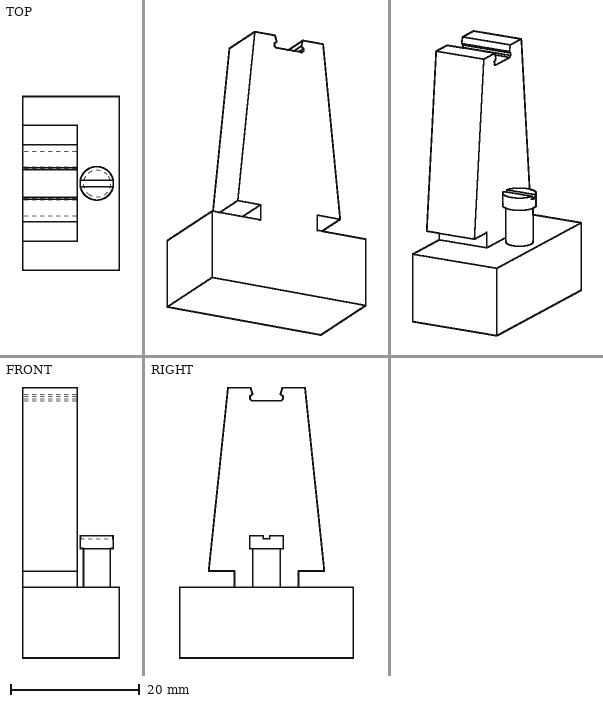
import cadquery as cq

base_length_x = 15.0
base_width_y = 27.0
base_height = 11.0

column_depth_x = 8.5
neck_width = 10.0
neck_height = 2.5
head_bottom_width = 18.0
head_top_width = 12.0
total_height = 42.0

groove_depth = 2.0
groove_mouth_width = 4.9
groove_throat_width = 4.3
channel_width = 5.1
channel_height = 1.0
channel_floor_chamfer = 0.25
lip_underside_height = 0.35

screw_x = 11.5
shank_diameter = 4.2
shank_length = 6.0
screw_head_diameter = 5.2
screw_head_height = 2.0
slot_width = 1.0
slot_depth = 0.5

head_bottom_z = base_height + neck_height
groove_floor_z = total_height - groove_depth
throat_z = groove_floor_z + channel_height


def extrude_symmetric_outline(half_outline):
    """Mirror the +Y half of a YZ outline about Y = 0 and extrude it over the column depth."""
    mirrored_outline = [(-y, z) for y, z in reversed(half_outline)]
    return cq.Workplane("YZ").polyline(half_outline + mirrored_outline).close().extrude(column_depth_x)


def make_column():
    """Neck and tapered head, drawn in the YZ plane and extruded along X."""
    half_outline = [
        (neck_width / 2, base_height),
        (neck_width / 2, head_bottom_z),
        (head_bottom_width / 2, head_bottom_z),
        (head_top_width / 2, total_height),
    ]
    return extrude_symmetric_outline(half_outline)


def make_groove():
    """Cutter for the undercut groove, running the full depth of the column."""
    half_channel = channel_width / 2
    half_outline = [
        (half_channel - channel_floor_chamfer, groove_floor_z),
        (half_channel, groove_floor_z + channel_floor_chamfer),
        (half_channel, throat_z - lip_underside_height),
        (groove_throat_width / 2, throat_z),
        (groove_mouth_width / 2, total_height),
    ]
    return extrude_symmetric_outline(half_outline)


def make_holder():
    """Base block and grooved column as one solid."""
    base = cq.Workplane("XY").box(base_length_x, base_width_y, base_height, centered=(False, True, False))
    return base.union(make_column()).cut(make_groove())


def make_screw():
    """Cylindrical shank and head, with a driver slot along X across the head."""
    shank = (
        cq.Workplane("XY", origin=(screw_x, 0, base_height))
        .circle(shank_diameter / 2)
        .extrude(shank_length)
    )
    head = (
        cq.Workplane("XY", origin=(screw_x, 0, base_height + shank_length))
        .circle(screw_head_diameter / 2)
        .extrude(screw_head_height)
    )
    slot_floor_z = base_height + shank_length + screw_head_height - slot_depth
    slot = (
        cq.Workplane("XY", origin=(screw_x, 0, slot_floor_z))
        .rect(screw_head_diameter, slot_width)
        .extrude(slot_depth)
    )
    return shank.union(head).cut(slot)


holder = make_holder()
screw = make_screw()

result = cq.Compound.makeCompound([holder.val(), screw.val()])